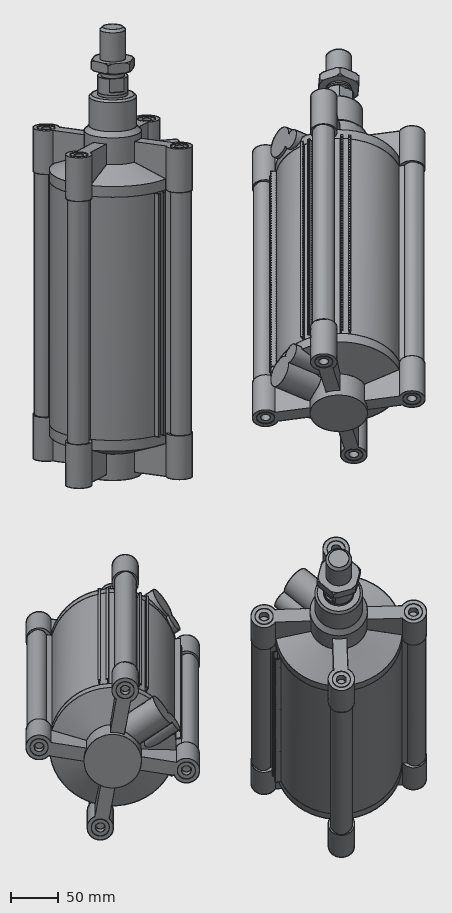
import cadquery as cq
import math

TOTAL_LENGTH = 485.0
BARREL_BOTTOM = 54.0
BARREL_TOP = 318.0
BARREL_LENGTH = BARREL_TOP - BARREL_BOTTOM

BOSS_OFFSET = 55.5
BOSS_DIAMETER = 27.5
FIN_WIDTH = 15.0
CORNER_SIGNS = [(x, y) for x in (-1, 1) for y in (-1, 1)]

BARREL_DIAMETER = 133.0
LOBE_OFFSET = 56.5
LOBE_SIZE = 22.0
LOBE_CORNER_RADIUS = 9.0

SLOT_ANGLES = (27.5, 62.5, 117.5, 152.5)
SLOT_WIDTH = 10.5
SLOT_OUTER_RADIUS = 72.5
SLOT_WALL = 1.2
SLOT_GAP = 6.0

CAP_BAND_HEIGHT = 11.5
CAP_CONE_HEIGHT = 13.5
BOSS_HEIGHT = 47.5
NECK_DIAMETER = 60.0
FRONT_NECK_HEIGHT = 54.5
SCREW_RECESS_DIAMETER = 19.0
SCREW_RECESS_DEPTH = 1.0
SCREW_HOLE_DIAMETER = 10.0
SCREW_HOLE_DEPTH = 9.5

PORT_END_Y = BOSS_OFFSET + BOSS_DIAMETER / 2
PORT_X = 7.5
PORT_HEIGHT = 23.5
PORT_DIAMETER = 34.0
CUSHION_X = -13.5
CUSHION_HEIGHT = 13.0
CUSHION_DIAMETER = 21.5

COLLAR_DIAMETER = 50.0
COLLAR_BOTTOM = 378.0
COLLAR_TOP = 412.0
COLLAR_CHAMFER = 2.5

ROD_DIAMETER = 31.5
WIPER_DIAMETER = 32.0
WIPER_TOP = 414.5
ROD_SHOULDER = 432.0
FLATS_BOTTOM = 417.5
FLATS_WIDTH = 27.0
THREAD_DIAMETER = 27.0
THREAD_BOTTOM = 436.0
UNDERCUT_DIAMETER = 24.5
THREAD_RUNOUT = (THREAD_DIAMETER - UNDERCUT_DIAMETER) / 2
THREAD_END_CHAMFER = 3.0

NUT_BOTTOM = 439.5
NUT_THICKNESS = 11.0
NUT_ACROSS_FLATS = 41.0
NUT_CHAMFER = 2.0


def cylinder(diameter, bottom, top):
    return cq.Workplane("XY", origin=(0, 0, bottom)).circle(diameter / 2).extrude(top - bottom)


def diagonal_fins(length, bottom, height):
    """Two crossed plates that run along the diagonals through the axis."""
    plate = cq.Workplane("XY", origin=(0, 0, bottom)).rect(length, FIN_WIDTH).extrude(height)
    axis_start, axis_end = (0, 0, 0), (0, 0, 1)
    return plate.rotate(axis_start, axis_end, 45).union(plate.rotate(axis_start, axis_end, -45))


def make_slot_rail(angle):
    """C-shaped rail on the barrel surface, open outwards through a narrow gap."""
    inner = BARREL_DIAMETER / 2 - SLOT_WALL
    base = BARREL_DIAMETER / 2
    depth = SLOT_OUTER_RADIUS - base
    rail = (
        cq.Workplane("XY", origin=(0, 0, BARREL_BOTTOM))
        .center((inner + SLOT_OUTER_RADIUS) / 2, 0)
        .rect(SLOT_OUTER_RADIUS - inner, SLOT_WIDTH)
        .extrude(BARREL_LENGTH)
    )
    cavity = (
        cq.Workplane("XY", origin=(0, 0, BARREL_BOTTOM))
        .center(base + (depth - SLOT_WALL) / 2, 0)
        .rect(depth - SLOT_WALL, SLOT_WIDTH - 2 * SLOT_WALL)
        .extrude(BARREL_LENGTH)
    )
    opening = (
        cq.Workplane("XY", origin=(0, 0, BARREL_BOTTOM))
        .center(SLOT_OUTER_RADIUS - depth / 2, 0)
        .rect(depth, SLOT_GAP)
        .extrude(BARREL_LENGTH)
    )
    return rail.cut(cavity).cut(opening).rotate((0, 0, 0), (0, 0, 1), angle)


def make_barrel():
    """Extruded barrel with four webbed corner lobes and four sensor slots."""
    barrel = cylinder(BARREL_DIAMETER, BARREL_BOTTOM, BARREL_TOP)
    web_length = 2 * math.hypot(LOBE_OFFSET, LOBE_OFFSET)
    barrel = barrel.union(diagonal_fins(web_length, BARREL_BOTTOM, BARREL_LENGTH))
    lobes = (
        cq.Workplane("XY", origin=(0, 0, BARREL_BOTTOM))
        .pushPoints([(x * LOBE_OFFSET, y * LOBE_OFFSET) for x, y in CORNER_SIGNS])
        .rect(LOBE_SIZE, LOBE_SIZE)
        .extrude(BARREL_LENGTH)
        .edges("|Z")
        .fillet(LOBE_CORNER_RADIUS)
    )
    barrel = barrel.union(lobes)
    for angle in SLOT_ANGLES:
        barrel = barrel.union(make_slot_rail(angle))
    return barrel


def port_barrel(x, height, diameter):
    """Round barrel that points along +Y from inside the cap."""
    return cq.Workplane("XZ", origin=(x, 0, height)).circle(diameter / 2).extrude(-PORT_END_Y)


def make_cap(neck_height):
    """Cap standing on Z = 0, with its band, cone, neck, fins, corner bosses and port barrels."""
    band_radius = BARREL_DIAMETER / 2
    neck_radius = NECK_DIAMETER / 2
    cone_top = CAP_BAND_HEIGHT + CAP_CONE_HEIGHT
    cap = (
        cq.Workplane("XZ")
        .polyline([
            (0, 0),
            (band_radius, 0),
            (band_radius, CAP_BAND_HEIGHT),
            (neck_radius, cone_top),
            (neck_radius, neck_height),
            (0, neck_height),
        ])
        .close()
        .revolve(360, (0, 0, 0), (0, 1, 0))
    )
    centers = [(x * BOSS_OFFSET, y * BOSS_OFFSET) for x, y in CORNER_SIGNS]
    fin_length = 2 * math.hypot(BOSS_OFFSET, BOSS_OFFSET)
    cap = cap.union(diagonal_fins(fin_length, 0, BOSS_HEIGHT))
    bosses = cq.Workplane("XY").pushPoints(centers).circle(BOSS_DIAMETER / 2).extrude(BOSS_HEIGHT)
    cap = cap.union(bosses)
    port = port_barrel(PORT_X, PORT_HEIGHT, PORT_DIAMETER)
    cushion = port_barrel(CUSHION_X, CUSHION_HEIGHT, CUSHION_DIAMETER)
    cap = cap.union(port).union(cushion)
    boss_tops = cq.Workplane("XY", origin=(0, 0, BOSS_HEIGHT)).pushPoints(centers)
    recesses = boss_tops.circle(SCREW_RECESS_DIAMETER / 2).extrude(-SCREW_RECESS_DEPTH)
    holes = boss_tops.circle(SCREW_HOLE_DIAMETER / 2).extrude(-SCREW_HOLE_DEPTH)
    return cap.cut(recesses).cut(holes)


def make_head_cap():
    """Front cap with the stepped guide collar that the rod passes through."""
    cap = make_cap(FRONT_NECK_HEIGHT).translate((0, 0, BARREL_TOP))
    collar = cylinder(COLLAR_DIAMETER, BARREL_TOP, COLLAR_TOP).faces(">Z").chamfer(COLLAR_CHAMFER)
    neck_top = BARREL_TOP + FRONT_NECK_HEIGHT
    shoulder = (
        cq.Workplane("XY", origin=(0, 0, neck_top))
        .circle(NECK_DIAMETER / 2)
        .workplane(offset=COLLAR_BOTTOM - neck_top)
        .circle(COLLAR_DIAMETER / 2)
        .loft()
    )
    cap = cap.union(collar).union(shoulder)
    return cap.cut(cylinder(WIPER_DIAMETER, BARREL_TOP, COLLAR_TOP))


def make_rear_cap():
    """Rear cap: the plain cap turned over below the barrel."""
    return make_cap(BARREL_BOTTOM).mirror("XY").translate((0, 0, BARREL_BOTTOM))


def make_piston_rod():
    """Rod with wrench flats, an undercut and a chamfered thread end."""
    rod = cylinder(ROD_DIAMETER, BARREL_TOP, ROD_SHOULDER)
    flats_height = ROD_SHOULDER - FLATS_BOTTOM
    flat_center_x = (FLATS_WIDTH + ROD_DIAMETER) / 2
    flats = (
        cq.Workplane("XY", origin=(0, 0, FLATS_BOTTOM))
        .pushPoints([(-flat_center_x, 0), (flat_center_x, 0)])
        .rect(ROD_DIAMETER, ROD_DIAMETER)
        .extrude(flats_height)
    )
    rod = rod.cut(flats)
    rod = rod.union(cylinder(WIPER_DIAMETER, BARREL_TOP, WIPER_TOP))
    undercut = cylinder(UNDERCUT_DIAMETER, ROD_SHOULDER, THREAD_BOTTOM)
    thread = cylinder(THREAD_DIAMETER, THREAD_BOTTOM, TOTAL_LENGTH)
    thread = thread.faces("<Z").chamfer(THREAD_RUNOUT).faces(">Z").chamfer(THREAD_END_CHAMFER)
    return rod.union(undercut).union(thread)


def make_lock_nut():
    """Hexagonal nut with corners along Y and both faces chamfered round."""
    across_corners = NUT_ACROSS_FLATS / math.cos(math.pi / 6)
    nut = (
        cq.Workplane("XY", origin=(0, 0, NUT_BOTTOM))
        .polygon(6, across_corners)
        .extrude(NUT_THICKNESS)
        .rotate((0, 0, 0), (0, 0, 1), 30)
    )
    nut_top = NUT_BOTTOM + NUT_THICKNESS
    envelope = cylinder(across_corners, NUT_BOTTOM, nut_top).faces("<Z or >Z").chamfer(NUT_CHAMFER)
    return nut.intersect(envelope).cut(cylinder(THREAD_DIAMETER, NUT_BOTTOM, nut_top))


barrel = make_barrel()
head_cap = make_head_cap()
rear_cap = make_rear_cap()
piston_rod = make_piston_rod()
lock_nut = make_lock_nut()

result = cq.Compound.makeCompound([
    barrel.val(),
    head_cap.val(),
    rear_cap.val(),
    piston_rod.val(),
    lock_nut.val(),
])